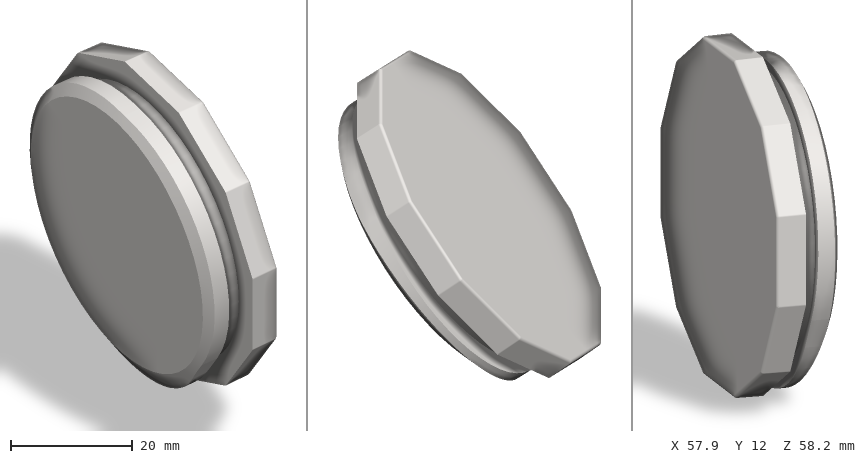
import cadquery as cq
import math

FLANGE_SIDES = 12
FLANGE_ACROSS_FLATS = 57.93
FLANGE_THICKNESS = 5.04
FLANGE_DRAFT = 1.0
FLANGE_CORNER_RADIUS = 0.5
FLANGE_BACK_RADIUS = 0.5

NECK_DIAMETER = 50.0
NECK_LENGTH = 3.0

LID_THICKNESS = 4.0
LID_TOP_FLAT = 1.6
LID_TOP_Z = 26.35
LID_BOTTOM_Z = -29.245
LID_SIDE_RADIUS = 25.75
LID_FLANK_ANGLE = 30.0

LID_FACE_RADIUS = 24.7
BEVEL_ANGLE = 30.0
LID_FACE_Y = -(NECK_LENGTH + LID_THICKNESS)


def front_plane(y):
    """Sketch plane at the given Y with local axes along X and Z; extrusions run toward -Y."""
    return cq.Workplane("XZ", origin=(0, y, 0))


def make_flange():
    half_corner_angle = math.pi / FLANGE_SIDES
    corner_diameter = FLANGE_ACROSS_FLATS / math.cos(half_corner_angle)
    turn = math.degrees(half_corner_angle)
    flange = (
        front_plane(0)
        .transformed(rotate=(0, 0, turn))
        .polygon(FLANGE_SIDES, corner_diameter)
        .extrude(-FLANGE_THICKNESS, taper=FLANGE_DRAFT)
    )
    flange = flange.edges("not(#Y)").fillet(FLANGE_CORNER_RADIUS)
    return flange.faces(">Y").edges().fillet(FLANGE_BACK_RADIUS)


def make_neck():
    return front_plane(0).circle(NECK_DIAMETER / 2).extrude(NECK_LENGTH)


def lid_outline(y):
    """Closed outline: top flat, two side arcs, two straight flanks and a bottom arc, all tangent."""
    flank = math.radians(LID_FLANK_ANGLE)
    half_flat = LID_TOP_FLAT / 2
    side_center_z = LID_TOP_Z - LID_SIDE_RADIUS

    flank_distance = (
        half_flat * math.cos(flank) - side_center_z * math.sin(flank) + LID_SIDE_RADIUS
    )
    bottom_radius = (flank_distance + LID_BOTTOM_Z * math.sin(flank)) / (1 - math.sin(flank))
    bottom_center_z = LID_BOTTOM_Z + bottom_radius

    def side_point(angle):
        x = half_flat + LID_SIDE_RADIUS * math.cos(angle)
        z = side_center_z + LID_SIDE_RADIUS * math.sin(angle)
        return x, z

    def mirrored(point):
        return -point[0], point[1]

    flat_end = (half_flat, LID_TOP_Z)
    side_middle = side_point(0)
    flank_top = side_point(-flank)
    flank_bottom = (
        bottom_radius * math.cos(flank),
        bottom_center_z - bottom_radius * math.sin(flank),
    )
    return (
        front_plane(y)
        .moveTo(*mirrored(flat_end))
        .lineTo(*flat_end)
        .threePointArc(side_middle, flank_top)
        .lineTo(*flank_bottom)
        .threePointArc((0, LID_BOTTOM_Z), mirrored(flank_bottom))
        .lineTo(*mirrored(flank_top))
        .threePointArc(mirrored(side_middle), mirrored(flat_end))
        .close()
    )


def make_bevel_cone():
    """Cone frustum that bounds the lid; its small end is the flat lid face."""
    base_radius = LID_FACE_RADIUS + LID_THICKNESS / math.tan(math.radians(BEVEL_ANGLE))
    cone = cq.Solid.makeCone(
        LID_FACE_RADIUS,
        base_radius,
        LID_THICKNESS,
        pnt=cq.Vector(0, LID_FACE_Y, 0),
        dir=cq.Vector(0, 1, 0),
    )
    return cq.Workplane("XY").add(cone)


def make_lid():
    blank = lid_outline(-NECK_LENGTH).extrude(LID_THICKNESS)
    return blank.intersect(make_bevel_cone())


result = make_flange().union(make_neck()).union(make_lid())